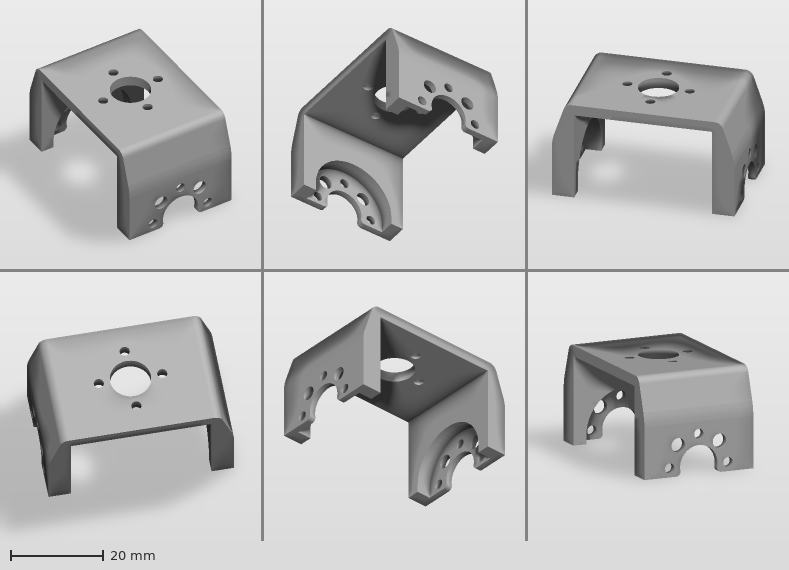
import cadquery as cq
import math

length = 41.0
width = 26.2
height = 22.4

plate_thickness = 2.4
leg_thickness = 5.0
shoulder_height = 13.4
slant_angle = 18.6
top_edge_radius = 2.0
shoulder_radius = 10.0

bore_diameter = 9.0
screw_diameter = 2.2
access_diameter = 3.2
pattern_radius = 7.0
leg_pattern_height = 2.0
mouth_radius = 1.0

web_thickness = 1.5
recess_radius = 10.0


def bridge():
    """Inverted U with sloping shoulders, extruded along Y."""
    half_length = length / 2
    inset = (height - shoulder_height) * math.tan(math.radians(slant_angle))
    half_top = half_length - inset
    outline = [
        (-half_length, 0),
        (half_length, 0),
        (half_length, shoulder_height),
        (half_top, height),
        (-half_top, height),
        (-half_length, shoulder_height),
    ]
    body = cq.Workplane("XZ").polyline(outline).close().extrude(width / 2, both=True)
    body = body.edges("|Y and >Z").fillet(top_edge_radius)
    shoulder = cq.selectors.BoxSelector(
        (-length, -width, shoulder_height - 0.05),
        (length, width, shoulder_height + 0.05),
    )
    body = body.edges("|Y").edges(shoulder).fillet(shoulder_radius)
    gap = cq.Workplane("XY").box(
        length - 2 * leg_thickness, width, height - plate_thickness, centered=(True, True, False)
    )
    return body.cut(gap)


def on_pattern(angles):
    """Points on the pattern circle at the given angles in degrees."""
    return [
        (pattern_radius * math.cos(math.radians(a)), pattern_radius * math.sin(math.radians(a)))
        for a in angles
    ]


def plate_holes():
    """Central bore and four screw holes through the top plate."""
    plane = cq.Workplane("XY").workplane(offset=height - plate_thickness)
    bore = plane.circle(bore_diameter / 2).extrude(plate_thickness)
    screws = plane.pushPoints(on_pattern([0, 90, 180, 270])).circle(screw_diameter / 2)
    return bore.union(screws.extrude(plate_thickness))


def leg_holes():
    """Screw and access holes through both legs."""
    center = (0, 0, leg_pattern_height)
    screws = (
        cq.Workplane("YZ", origin=center)
        .pushPoints(on_pattern([0, 90, 180]))
        .circle(screw_diameter / 2)
        .extrude(length / 2, both=True)
    )
    access = (
        cq.Workplane("YZ", origin=center)
        .pushPoints(on_pattern([45, 135]))
        .circle(access_diameter / 2)
        .extrude(length / 2, both=True)
    )
    return screws.union(access)


def leg_mouth():
    """Bore through both legs, open at the feet with rounded corners."""
    bore_radius = bore_diameter / 2
    drop = leg_pattern_height - mouth_radius
    reach = bore_radius + mouth_radius
    corner_y = math.sqrt(reach**2 - drop**2)
    tangent_y = corner_y * bore_radius / reach
    tangent_z = leg_pattern_height - drop * bore_radius / reach
    middle_angle = (math.atan2(corner_y, drop) + math.pi) / 2
    middle_y = corner_y - mouth_radius * math.sin(middle_angle)
    middle_z = mouth_radius + mouth_radius * math.cos(middle_angle)
    return (
        cq.Workplane("YZ")
        .moveTo(-corner_y, 0)
        .threePointArc((-middle_y, middle_z), (-tangent_y, tangent_z))
        .threePointArc((0, leg_pattern_height + bore_radius), (tangent_y, tangent_z))
        .threePointArc((middle_y, middle_z), (corner_y, 0))
        .close()
        .extrude(length / 2, both=True)
    )


def leg_recesses():
    """Arched pockets from the inside, open at the feet, leaving a thin outer web in each leg."""
    return (
        cq.Workplane("YZ")
        .moveTo(-recess_radius, 0)
        .lineTo(-recess_radius, leg_pattern_height)
        .threePointArc((0, leg_pattern_height + recess_radius), (recess_radius, leg_pattern_height))
        .lineTo(recess_radius, 0)
        .close()
        .extrude(length / 2 - web_thickness, both=True)
    )


result = bridge().cut(plate_holes()).cut(leg_recesses()).cut(leg_holes()).cut(leg_mouth())